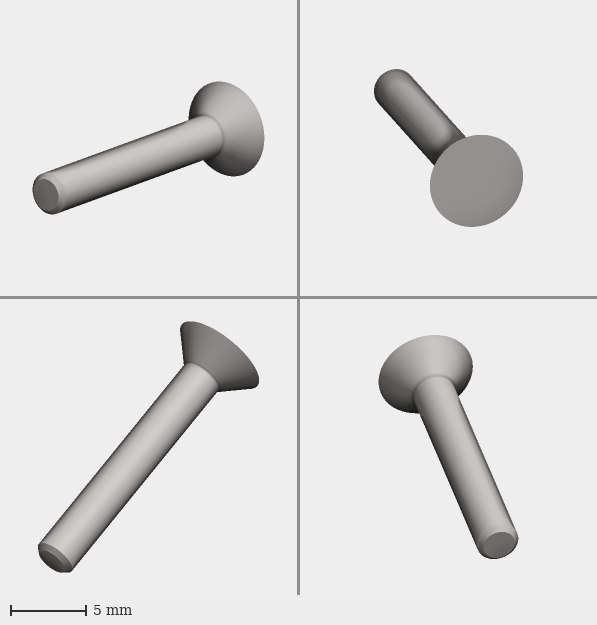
import cadquery as cq

total_length = 19.05
head_diameter = 6.48
shank_diameter = 2.84
head_height = 2.08
tip_chamfer = 0.35

head_radius = head_diameter / 2
shank_radius = shank_diameter / 2
tip_y = -total_length / 2
head_face_y = total_length / 2
head_base_y = head_face_y - head_height

half_profile = (
    cq.Workplane("XY")
    .moveTo(0, tip_y)
    .lineTo(shank_radius - tip_chamfer, tip_y)
    .lineTo(shank_radius, tip_y + tip_chamfer)
    .lineTo(shank_radius, head_base_y)
    .lineTo(head_radius, head_face_y)
    .lineTo(0, head_face_y)
    .close()
)

result = half_profile.revolve(360, (0, 0, 0), (0, 1, 0))